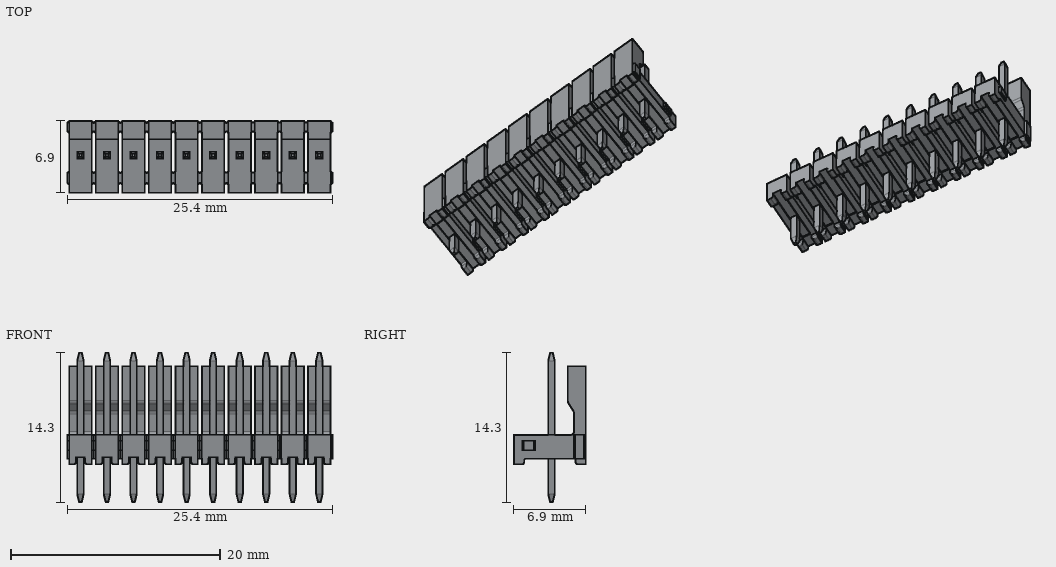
import cadquery as cq

unit_count = 10
pitch = 2.54
unit_width = 2.17

front_y = -3.6
back_y = 3.3
wall_head_thickness = 1.75
wall_stem_thickness = 1.15

foot_bottom_z = 3.6
base_bottom_z = 4.14
base_top_z = 6.44
ramp_bottom_z = 8.62
ramp_top_z = 9.56
wall_top_z = 13.0
pin_height = 14.3

ramp_radius = 0.6
wall_root_radius = 0.32

foot_length = 1.0
foot_edge_radius = 0.24
foot_root_radius = 0.15
foot_notch_width = 0.87
groove_top_z = 4.3

pin_width = 0.64
tip_length = 0.78
tip_end_width = 0.26
tip_bulge_width = 0.46

link_reach = (pitch - unit_width) / 2
rear_link_front_y = back_y - wall_stem_thickness
rear_link_back_y = back_y - 0.05
rear_link_chamfer = 0.15
front_link_front_y = front_y + 0.82
front_link_back_y = front_y + 2.05
front_link_chamfer = 0.13
front_link_bottom_z = 4.95
front_link_top_z = 5.89


def box_between(x_range, y_range, z_range):
    """Box filling the given X, Y and Z ranges, each a low and a high value."""
    size = [high - low for low, high in (x_range, y_range, z_range)]
    corner = (x_range[0], y_range[0], z_range[0])
    return cq.Workplane("XY").box(*size, centered=False).translate(corner)


def round_edge(solid, y, z, radius):
    """Fillet the edge along X that passes through the given Y and Z."""
    return solid.edges(cq.selectors.NearestToPointSelector((0, y, z))).fillet(radius)


def make_body():
    """Base, feet and locking wall, drawn as a side profile and extruded along X."""
    head_y = back_y - wall_head_thickness
    stem_y = back_y - wall_stem_thickness
    front_foot_y = front_y + foot_length
    rear_foot_y = back_y - foot_length
    profile = [
        (front_y, foot_bottom_z),
        (front_foot_y, foot_bottom_z),
        (front_foot_y, base_bottom_z),
        (rear_foot_y, base_bottom_z),
        (rear_foot_y, foot_bottom_z),
        (back_y, foot_bottom_z),
        (back_y, wall_top_z),
        (head_y, wall_top_z),
        (head_y, ramp_top_z),
        (stem_y, ramp_bottom_z),
        (stem_y, base_top_z),
        (front_y, base_top_z),
    ]
    body = cq.Workplane("YZ").polyline(profile).close().extrude(unit_width / 2, both=True)

    body = round_edge(body, head_y, ramp_top_z, ramp_radius)
    body = round_edge(body, stem_y, ramp_bottom_z, ramp_radius)
    body = round_edge(body, stem_y, base_top_z, wall_root_radius)
    body = round_edge(body, front_foot_y, base_bottom_z, foot_root_radius)

    half_notch = foot_notch_width / 2
    notch_x = (-half_notch, half_notch)
    groove = box_between(notch_x, (front_y, rear_foot_y), (foot_bottom_z, groove_top_z))
    rear_notch = box_between(notch_x, (rear_foot_y, back_y), (foot_bottom_z, base_bottom_z))
    body = body.cut(groove).cut(rear_notch)

    margin = foot_edge_radius / 2
    inner_edges = cq.selectors.BoxSelector(
        (-unit_width / 2 + margin, front_y + margin, foot_bottom_z - margin),
        (unit_width / 2 - margin, back_y - margin, foot_bottom_z + margin),
    )
    return body.edges(inner_edges).fillet(foot_edge_radius)


def make_pin():
    """Square pin whose two tips narrow with bulging sides."""

    def silhouette(plane):
        half = pin_width / 2
        bulge = tip_bulge_width / 2
        end = tip_end_width / 2
        low_z = tip_length
        high_z = pin_height - tip_length
        low_bulge_z = tip_length / 2
        high_bulge_z = pin_height - low_bulge_z
        return (
            cq.Workplane(plane)
            .moveTo(-end, 0)
            .lineTo(end, 0)
            .threePointArc((bulge, low_bulge_z), (half, low_z))
            .lineTo(half, high_z)
            .threePointArc((bulge, high_bulge_z), (end, pin_height))
            .lineTo(-end, pin_height)
            .threePointArc((-bulge, high_bulge_z), (-half, high_z))
            .lineTo(-half, low_z)
            .threePointArc((-bulge, low_bulge_z), (-end, 0))
            .close()
            .extrude(pin_width, both=True)
        )

    return silhouette("XZ").intersect(silhouette("YZ"))


def make_link_pair(y_range, z_range, chamfer):
    """Stubs on both sides of a unit, narrowing in Y towards their outer faces."""
    low_y, high_y = y_range
    half_unit = unit_width / 2
    outer = half_unit + link_reach
    outline = [
        (-outer, low_y + chamfer),
        (-half_unit, low_y),
        (half_unit, low_y),
        (outer, low_y + chamfer),
        (outer, high_y - chamfer),
        (half_unit, high_y),
        (-half_unit, high_y),
        (-outer, high_y - chamfer),
    ]
    low_z, high_z = z_range
    return (
        cq.Workplane("XY").workplane(offset=low_z).polyline(outline).close().extrude(high_z - low_z)
    )


def make_unit():
    """One contact position: body, links and pin, with the pin centred on the Z axis."""
    rear_links = make_link_pair(
        (rear_link_front_y, rear_link_back_y), (base_bottom_z, base_top_z), rear_link_chamfer
    )
    front_links = make_link_pair(
        (front_link_front_y, front_link_back_y),
        (front_link_bottom_z, front_link_top_z),
        front_link_chamfer,
    )
    return make_body().union(rear_links).union(front_links).union(make_pin())


def make_header():
    """All units in a row centred on X = 0, fused where their links meet."""
    unit = make_unit()
    first_x = -(unit_count - 1) * pitch / 2
    header = unit.translate((first_x, 0, 0))
    for index in range(1, unit_count):
        header = header.union(unit.translate((first_x + index * pitch, 0, 0)))
    return header


result = make_header()